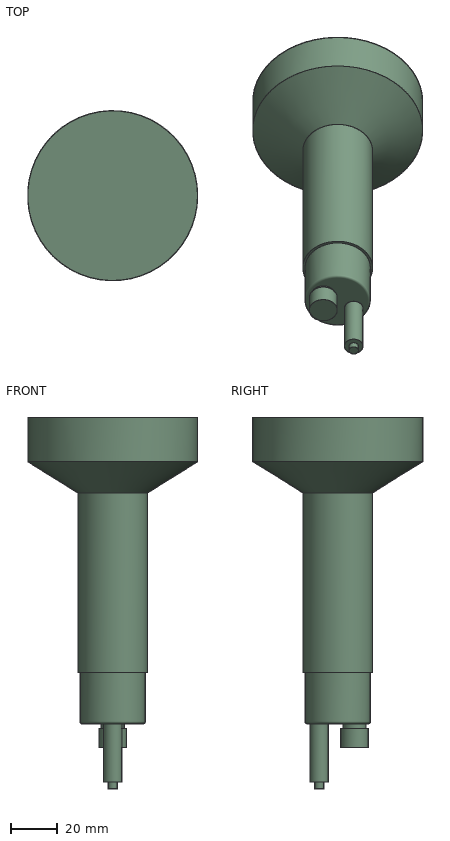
import cadquery as cq

total_height = 159.5
head_bottom = 140.5
cone_bottom = 127.1
collar_top = 50.0
collar_bottom = 27.9
stud_head_top = 26.0
stud_bottom = 17.7
pin_shoulder = 2.9

head_diameter = 73.0
shaft_diameter = 30.0
collar_diameter = 28.0
stud_neck_diameter = 10.0
stud_head_diameter = 12.0
pin_diameter = 8.0
pin_tip_diameter = 4.0

collar_rounding = 1.0

stud_y = 7.2
pin_y = -8.0


def cylinder(diameter, bottom, top, y=0):
    """Vertical cylinder between two heights, centred on X = 0."""
    return cq.Workplane("XY", origin=(0, y, bottom)).circle(diameter / 2).extrude(top - bottom)


def make_handle():
    """Flat round head tapering through a cone into the straight shaft."""
    head_radius = head_diameter / 2
    shaft_radius = shaft_diameter / 2
    profile = (
        cq.Workplane("XZ")
        .moveTo(0, collar_top)
        .lineTo(shaft_radius, collar_top)
        .lineTo(shaft_radius, cone_bottom)
        .lineTo(head_radius, head_bottom)
        .lineTo(head_radius, total_height)
        .lineTo(0, total_height)
        .close()
    )
    return profile.revolve(360, (0, 0, 0), (0, 1, 0))


def make_collar():
    """Slightly narrower end of the shaft, rounded at its lower rim."""
    return cylinder(collar_diameter, collar_bottom, collar_top).faces("<Z").fillet(collar_rounding)


def make_stud():
    """Short headed stud on the +Y side of the collar's end face."""
    neck = cylinder(stud_neck_diameter, stud_head_top, collar_bottom, stud_y)
    head = cylinder(stud_head_diameter, stud_bottom, stud_head_top, stud_y)
    return neck.union(head)


def make_pin():
    """Long pin with a reduced tip on the -Y side of the collar's end face."""
    body = cylinder(pin_diameter, pin_shoulder, collar_bottom, pin_y)
    tip = cylinder(pin_tip_diameter, 0, pin_shoulder, pin_y)
    return body.union(tip)


result = make_handle().union(make_collar()).union(make_stud()).union(make_pin())